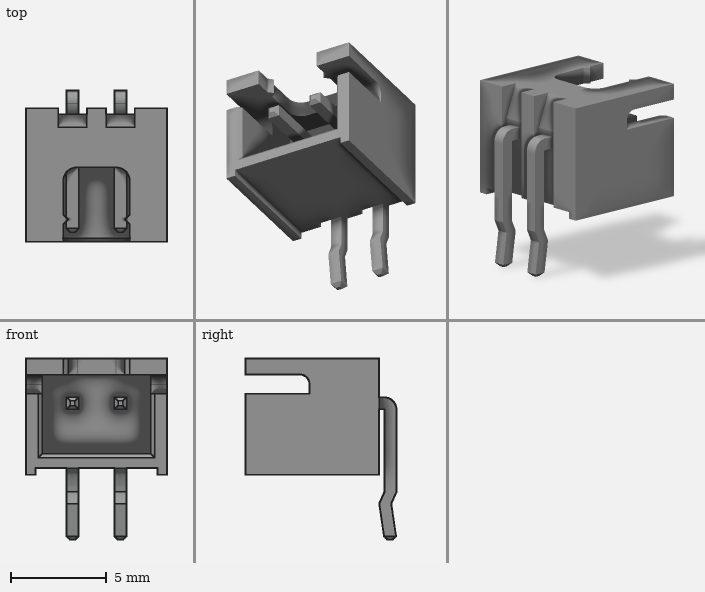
import cadquery as cq

width = 7.4
length = 7.0
height = 6.1

cavity_width = 5.7
floor_height = 1.1
roof_thickness = 0.85
cavity_depth = 5.2
mouth_chamfer = 0.2

slot_height = 1.0
slot_depth = 3.35
slot_radius = 0.5

window_width = 3.5
window_depth = 3.9
window_radius = 0.75
detent_height = 0.26
detent_setback = 1.17

runner_width = 0.52
relief_height = 0.36

pitch = 2.5
contact_count = 2
pin_size = 0.64
pin_axis_height = 3.75
pin_setback = 0.5
tip_length = 0.2
tail_overhang = 0.92
bend_radius = 0.68
tail_length = 3.4
kink_start = 0.88
kink_end = 1.5
tail_tip_offset = 0.03

notch_width = 1.5
notch_depth = 1.0
recess_depth = 0.32
slope_drop = 1.77

roof_underside = height - roof_thickness
slot_floor = roof_underside - slot_height
rear = length
contact_positions = [(i - (contact_count - 1) / 2) * pitch for i in range(contact_count)]


def block(x_size, y_start, y_end, z_start, z_end):
    """Axis-aligned box, centred on X."""
    corner = (-x_size / 2, y_start, z_start)
    return cq.Workplane("XY", origin=corner).box(x_size, y_end - y_start, z_end - z_start, centered=False)


def cavity():
    """Mating cavity, flared at the mouth along the floor and side walls."""
    room = block(cavity_width, 0, cavity_depth, floor_height, roof_underside)

    def section(y, flare):
        half = cavity_width / 2 + flare
        return [
            cq.Vector(-half, y, floor_height - flare),
            cq.Vector(half, y, floor_height - flare),
            cq.Vector(half, y, slot_floor),
            cq.Vector(-half, y, slot_floor),
        ]

    mouth = section(0, mouth_chamfer)
    throat = section(mouth_chamfer, 0)
    outlines = [cq.Wire.makePolygon(points, close=True) for points in (mouth, throat)]
    flare = cq.Solid.makeLoft(outlines, True)
    return room.union(cq.Workplane(flare))


def side_slots():
    """Slot across both side walls, rounded at its upper inner corner."""
    slot = block(width, 0, slot_depth, slot_floor, roof_underside)
    return slot.edges("|X and >Y and >Z").fillet(slot_radius)


def latch_window():
    """Roof window with rounded inner corners and a detent on each side."""
    window = block(window_width, 0, window_depth, roof_underside, height)
    window = window.edges("|Z and >Y").fillet(window_radius)
    for side in (-1, 1):
        edge = side * window_width / 2
        detent = (
            cq.Workplane("XY", origin=(0, 0, roof_underside))
            .moveTo(edge, detent_setback - detent_height)
            .lineTo(edge - side * detent_height, detent_setback)
            .lineTo(edge, detent_setback + detent_height)
            .close()
            .extrude(roof_thickness)
        )
        window = window.cut(detent)
    return window


def rear_notch(x):
    """Rear wall recess over the full height, with a steep slope widening it towards the roof."""
    profile = [
        (rear, 0),
        (rear, height),
        (rear - notch_depth, height),
        (rear - recess_depth, height - slope_drop),
        (rear - recess_depth, 0),
    ]
    start = cq.Workplane("YZ", origin=(x - notch_width / 2, 0, 0))
    return start.polyline(profile).close().extrude(notch_width)


def housing():
    body = block(width, 0, length, 0, height)
    body = body.cut(block(width - 2 * runner_width, 0, length, 0, relief_height))
    body = body.cut(cavity()).cut(side_slots()).cut(latch_window())
    for x in contact_positions:
        body = body.cut(rear_notch(x))
    return body


def tapered_tip(plane):
    """Square pin end narrowing at 45 degrees."""
    end_size = pin_size - 2 * tip_length
    return (
        cq.Workplane(plane)
        .rect(pin_size, pin_size)
        .workplane(offset=tip_length)
        .rect(end_size, end_size)
        .loft(ruled=True)
    )


def contact(x):
    """Right-angle square pin with a kinked solder tail and tapered ends."""
    half = pin_size / 2
    outer = rear + tail_overhang
    inner = outer - pin_size
    top = pin_axis_height + half
    bottom = pin_axis_height - half
    shoulder = pin_setback + tip_length
    tail_shoulder = tip_length - tail_length
    kink_shift = rear - inner
    profile = [
        (shoulder, top),
        (outer, top),
        (outer, -kink_start),
        (outer + kink_shift, -kink_end),
        (outer - tail_tip_offset, tail_shoulder),
        (inner - tail_tip_offset, tail_shoulder),
        (rear, -kink_end),
        (inner, -kink_start),
        (inner, bottom),
        (shoulder, bottom),
    ]
    pin = cq.Workplane("YZ", origin=(x - half, 0, 0)).polyline(profile).close().extrude(pin_size)
    pin = pin.edges("|X and >Y and >Z").fillet(bend_radius)
    mating_end = cq.Plane(origin=(x, shoulder, pin_axis_height), xDir=(1, 0, 0), normal=(0, -1, 0))
    tail_center = (x, outer - tail_tip_offset - half, tail_shoulder)
    tail_end = cq.Plane(origin=tail_center, xDir=(1, 0, 0), normal=(0, 0, -1))
    return pin.union(tapered_tip(mating_end)).union(tapered_tip(tail_end))


result = housing()
for contact_x in contact_positions:
    result = result.union(contact(contact_x))